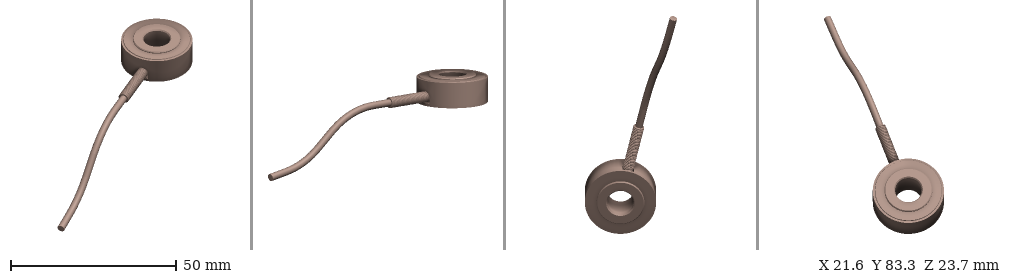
import cadquery as cq
import math

HOUSING_DIAMETER = 21.6
HOUSING_HEIGHT = 8.0
BORE_DIAMETER = 8.1
BORE_CHAMFER = 0.3
PAD_TOP_DIAMETER = 14.0
PAD_HEIGHT = 0.5
PAD_CHAMFER = 0.25
LID_BASE_DIAMETER = 20.35
LID_TOP_DIAMETER = 20.1
LID_HEIGHT = 0.25

EXIT_HEIGHT = 2.8
EXIT_SLOT_RADIUS = 1.75
EXIT_SILL_DROP = 2.0
EXIT_SLOT_FLOOR_Y = -8.7

CABLE_RADIUS = 2.25 / 2
COIL_PITCH = 0.5
COIL_WIRE_RADIUS = COIL_PITCH / 2
COIL_COUNT = 33
RELIEF_RADIUS = 1.7
BEND_START_Y = -31.5
BEND_RADIUS = 25.9
STEEP_ANGLE = 38.8
END_ANGLE = 9.2
STEEP_LENGTH = 7.6
END_LENGTH = 6.7

HOUSING_RADIUS = HOUSING_DIAMETER / 2


def make_ring_body():
    """Revolve the housing section: plain wall, stepped lid edge and a pad on each face."""
    bore_radius = BORE_DIAMETER / 2
    bore_mouth_radius = bore_radius + BORE_CHAMFER
    pad_top_radius = PAD_TOP_DIAMETER / 2
    pad_radius = pad_top_radius + PAD_CHAMFER
    pad_top = HOUSING_HEIGHT + PAD_HEIGHT
    lid_base = HOUSING_HEIGHT - LID_HEIGHT
    section = [
        (bore_radius, BORE_CHAMFER - PAD_HEIGHT),
        (bore_mouth_radius, -PAD_HEIGHT),
        (pad_top_radius, -PAD_HEIGHT),
        (pad_radius, PAD_CHAMFER - PAD_HEIGHT),
        (pad_radius, 0),
        (HOUSING_RADIUS, 0),
        (HOUSING_RADIUS, lid_base),
        (LID_BASE_DIAMETER / 2, lid_base),
        (LID_TOP_DIAMETER / 2, HOUSING_HEIGHT),
        (pad_radius, HOUSING_HEIGHT),
        (pad_radius, pad_top - PAD_CHAMFER),
        (pad_top_radius, pad_top),
        (bore_mouth_radius, pad_top),
        (bore_radius, pad_top - BORE_CHAMFER),
    ]
    return cq.Workplane("XZ").polyline(section).close().revolve(360, (0, 0, 0), (0, 1, 0))


def make_exit_slot():
    """Recess with a round top and a flat sill, open through the -Y side of the housing."""
    sill = EXIT_HEIGHT - EXIT_SILL_DROP
    return (
        cq.Workplane("XZ", origin=(0, EXIT_SLOT_FLOOR_Y, 0))
        .moveTo(-EXIT_SLOT_RADIUS, sill)
        .lineTo(EXIT_SLOT_RADIUS, sill)
        .lineTo(EXIT_SLOT_RADIUS, EXIT_HEIGHT)
        .threePointArc((0, EXIT_HEIGHT + EXIT_SLOT_RADIUS), (-EXIT_SLOT_RADIUS, EXIT_HEIGHT))
        .close()
        .extrude(HOUSING_RADIUS)
    )


def make_strain_relief():
    """Row of round coils along the cable axis, starting at the floor of the exit slot."""
    root_radius = RELIEF_RADIUS - COIL_WIRE_RADIUS
    profile = (
        cq.Workplane("XY", origin=(0, EXIT_SLOT_FLOOR_Y, EXIT_HEIGHT))
        .moveTo(0, 0)
        .lineTo(root_radius, 0)
    )
    for coil in range(COIL_COUNT):
        crest_y = -(coil + 0.5) * COIL_PITCH
        end_y = -(coil + 1) * COIL_PITCH
        profile = profile.threePointArc((RELIEF_RADIUS, crest_y), (root_radius, end_y))
    return (
        profile.lineTo(0, -COIL_COUNT * COIL_PITCH)
        .close()
        .revolve(360, (0, 0, 0), (0, 1, 0))
    )


def make_cable_core():
    """Sweep the cable: level, bend down, steep straight, bend back, nearly level end."""
    steep = math.radians(STEEP_ANGLE)
    middle = steep / 2
    end = math.radians(END_ANGLE)
    easing = (steep + end) / 2

    def on_first_bend(angle):
        return (
            BEND_START_Y - BEND_RADIUS * math.sin(angle),
            EXIT_HEIGHT - BEND_RADIUS * (1 - math.cos(angle)),
        )

    def advance(point, length, angle):
        return (point[0] - length * math.cos(angle), point[1] - length * math.sin(angle))

    first_bend_end = on_first_bend(steep)
    second_bend_start = advance(first_bend_end, STEEP_LENGTH, steep)

    def on_second_bend(angle):
        return (
            second_bend_start[0] - BEND_RADIUS * (math.sin(steep) - math.sin(angle)),
            second_bend_start[1] - BEND_RADIUS * (math.cos(angle) - math.cos(steep)),
        )

    second_bend_end = on_second_bend(end)
    path = (
        cq.Workplane("YZ")
        .moveTo(EXIT_SLOT_FLOOR_Y, EXIT_HEIGHT)
        .lineTo(BEND_START_Y, EXIT_HEIGHT)
        .threePointArc(on_first_bend(middle), first_bend_end)
        .lineTo(*second_bend_start)
        .threePointArc(on_second_bend(easing), second_bend_end)
        .lineTo(*advance(second_bend_end, END_LENGTH, end))
    )
    return (
        cq.Workplane("XZ", origin=(0, EXIT_SLOT_FLOOR_Y, EXIT_HEIGHT))
        .circle(CABLE_RADIUS)
        .sweep(path)
    )


housing = make_ring_body().cut(make_exit_slot())
cable = make_cable_core().union(make_strain_relief())

result = cq.Compound.makeCompound([housing.val(), *cable.solids().vals()])